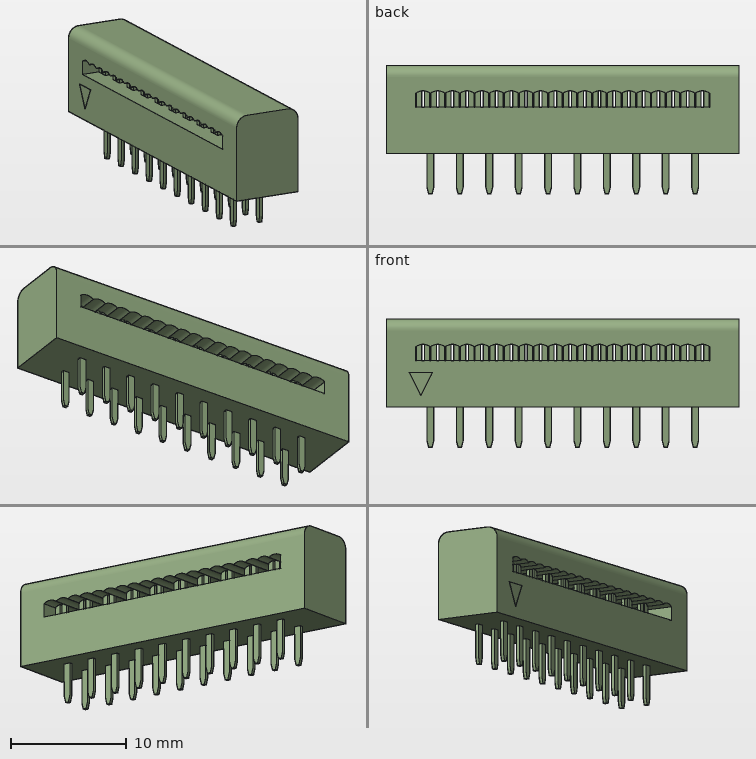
import cadquery as cq


length = 30.5
width = 6.05
housing_height = 7.62
top_edge_radius = 1.0

pins_per_row = 10
pin_row_span = 22.88
pin_pitch = pin_row_span / (pins_per_row - 1)
row_offset = 1.28
pin_width = 0.6
contact_thickness = 0.3
pin_length = 3.48
pin_tip_width = 0.3
pin_taper_length = 0.58

wire_count = 2 * pins_per_row
wire_pitch = pin_pitch / 2
slot_length = wire_count * wire_pitch
slot_floor = 4.03
cusp_height = 5.22
crown_height = 5.43

blade_width = 1.2
fork_gap = 0.2

mark_inset = 3.0
mark_x = mark_inset - length / 2
mark_width = 2.0
mark_top = 3.02
mark_tip = 1.0
mark_depth = 0.03


def make_housing():
    housing = cq.Workplane("XY").box(length, width, housing_height, centered=(True, True, False))
    return housing.edges("|X and >Z").fillet(top_edge_radius)


def make_slot():
    """Passage for the ribbon cable, with a scalloped roof following the round wires."""
    left = -slot_length / 2
    profile = (
        cq.Workplane("XZ")
        .moveTo(left, cusp_height)
        .lineTo(left, slot_floor)
        .lineTo(-left, slot_floor)
        .lineTo(-left, cusp_height)
    )
    for cell in range(wire_count):
        cell_right = -left - cell * wire_pitch
        crown = (cell_right - wire_pitch / 2, crown_height)
        profile = profile.threePointArc(crown, (cell_right - wire_pitch, cusp_height))
    return profile.close().extrude(width / 2, both=True)


def make_blade(x, y):
    """Two tines, one each side of the wire, reaching from the slot floor to its roof."""
    tine_width = (blade_width - fork_gap) / 2
    tine_offset = (fork_gap + tine_width) / 2
    tine_height = crown_height - slot_floor
    return (
        cq.Workplane("XY", origin=(x, y, slot_floor))
        .pushPoints([(-tine_offset, 0), (tine_offset, 0)])
        .rect(tine_width, contact_thickness)
        .extrude(tine_height)
    )


def make_pin(x, y):
    """Flat pin below the housing, tapered across its width at the tip."""
    half_width = pin_width / 2
    half_tip = pin_tip_width / 2
    taper_start = pin_taper_length - pin_length
    return (
        cq.Workplane("XZ", origin=(x, y, 0))
        .moveTo(-half_width, 0)
        .lineTo(-half_width, taper_start)
        .lineTo(-half_tip, -pin_length)
        .lineTo(half_tip, -pin_length)
        .lineTo(half_width, taper_start)
        .lineTo(half_width, 0)
        .close()
        .extrude(contact_thickness / 2, both=True)
    )


def make_mark():
    """Shallow triangle sunk into the front face, pointing down."""
    return (
        cq.Workplane("XZ", origin=(mark_x, -width / 2, 0))
        .moveTo(-mark_width / 2, mark_top)
        .lineTo(mark_width / 2, mark_top)
        .lineTo(0, mark_tip)
        .close()
        .extrude(-mark_depth)
    )


result = make_housing().cut(make_slot()).cut(make_mark())

for cell in range(wire_count):
    blade_x = (cell + 0.5) * wire_pitch - slot_length / 2
    blade_y = -row_offset if cell % 2 == 0 else row_offset
    result = result.union(make_blade(blade_x, blade_y))

for pin in range(pins_per_row):
    pin_x = pin * pin_pitch - pin_row_span / 2
    for pin_y in (-row_offset, row_offset):
        result = result.union(make_pin(pin_x, pin_y))